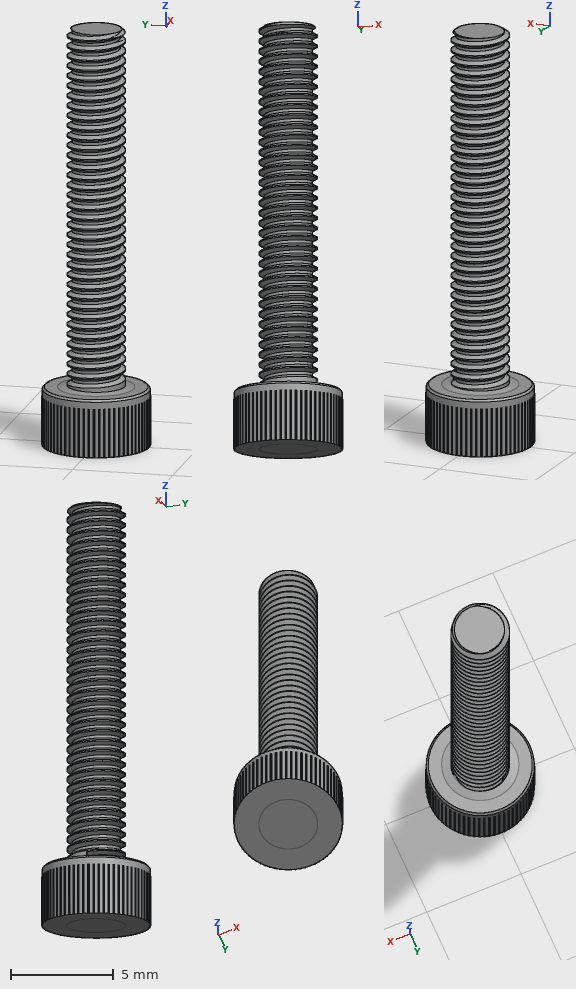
import cadquery as cq
import math

total_length = 20.9
head_height = 2.9
shank_length = total_length - head_height

head_radius = 2.63
head_edge_chamfer = 0.1
knurl_height = 2.45
knurl_radius = 2.65
knurl_depth = 0.06
knurl_count = 66
collar_radius = 1.88
collar_rise = 0.08

thread_turns = 36
thread_pitch = shank_length / thread_turns
thread_radius = 1.432
thread_depth = 0.25
root_radius = thread_radius - thread_depth
flank_slope = math.tan(math.radians(30))
flank_width = thread_depth * flank_slope
crest_width = thread_pitch / 8
root_width = thread_pitch - crest_width - 2 * flank_width

groove_start = head_height + thread_pitch / 2
groove_lengths = 2
turns_per_length = thread_turns // groove_lengths

tip_radius = 1.25
tip_chamfer_height = 0.17
tip_slope = (thread_radius - tip_radius) / tip_chamfer_height


def knurled_band():
    """Cylinder whose side is a ring of sharp ridges, one on the +X axis."""
    points = []
    for i in range(2 * knurl_count):
        radius = knurl_radius if i % 2 == 0 else knurl_radius - knurl_depth
        angle = math.pi * i / knurl_count
        points.append((radius * math.cos(angle), radius * math.sin(angle)))
    return cq.Workplane("XY").polyline(points).close().extrude(knurl_height)


def smooth_head():
    """Plain head with a chamfered shoulder and a low cone around the shank."""
    body = (
        cq.Workplane("XY")
        .circle(head_radius)
        .extrude(head_height)
        .faces(">Z")
        .chamfer(head_edge_chamfer)
    )
    collar = cq.Solid.makeCone(
        collar_radius, thread_radius, collar_rise, pnt=cq.Vector(0, 0, head_height)
    )
    return body.union(cq.Workplane(collar))


def groove_length():
    """V groove of one length, starting on the +X side of the XY plane."""
    overcut = 0.031
    mouth_radius = thread_radius + overcut
    half_root = root_width / 2
    half_mouth = half_root + (thread_depth + overcut) * flank_slope
    helix = cq.Wire.makeHelix(thread_pitch, turns_per_length * thread_pitch, thread_radius)
    return (
        cq.Workplane("XZ")
        .moveTo(root_radius, -half_root)
        .lineTo(mouth_radius, -half_mouth)
        .lineTo(mouth_radius, half_mouth)
        .lineTo(root_radius, half_root)
        .close()
        .sweep(cq.Workplane(helix), isFrenet=True)
    )


def tip_ring():
    """Waste outside the lead-in cone at the tip."""
    ring_height = 1.5 * tip_chamfer_height
    cone_radius = tip_radius + tip_slope * ring_height
    return (
        cq.Workplane("XZ")
        .moveTo(tip_radius, total_length)
        .lineTo(cone_radius, total_length - ring_height)
        .lineTo(cone_radius, total_length)
        .close()
        .revolve(360, (0, 0, 0), (0, 1, 0))
    )


def threaded_shank():
    """Shank from the base of the head to the tip, grooved and then chamfered."""
    seam_angle = 100
    shank = cq.Workplane("XY").circle(thread_radius).extrude(total_length)
    shank = shank.rotate((0, 0, 0), (0, 0, 1), seam_angle)
    groove = groove_length()
    for i in range(groove_lengths):
        base = groove_start + i * turns_per_length * thread_pitch
        shank = shank.cut(groove.translate((0, 0, base)), clean=False)
    return shank.cut(tip_ring(), clean=False)


head = smooth_head().union(knurled_band())
result = head.union(threaded_shank(), clean=False)